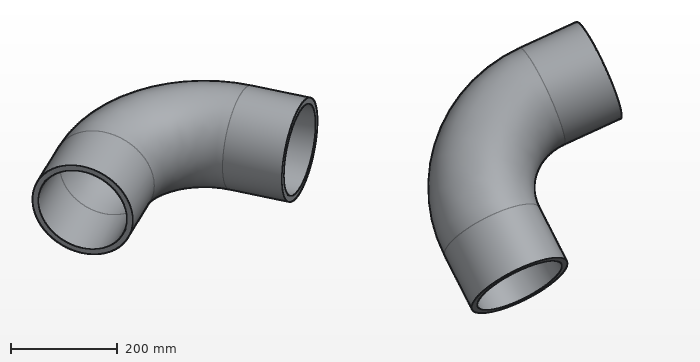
import cadquery as cq
import math

overall_length = 418.5
outer_diameter = 200.0
bore_diameter = 176.0
bend_radius = outer_diameter

leg_length = overall_length - bend_radius - outer_diameter / 2

inlet = (-bend_radius, -leg_length)
bend_start = (-bend_radius, 0)
bend_middle = (-bend_radius * math.cos(math.pi / 4), bend_radius * math.sin(math.pi / 4))
bend_end = (0, bend_radius)
outlet = (leg_length, bend_radius)

centreline = (
    cq.Workplane("XY")
    .moveTo(*inlet)
    .lineTo(*bend_start)
    .threePointArc(bend_middle, bend_end)
    .lineTo(*outlet)
)

result = (
    cq.Workplane("XZ", origin=(*inlet, 0))
    .circle(outer_diameter / 2)
    .circle(bore_diameter / 2)
    .sweep(centreline)
)